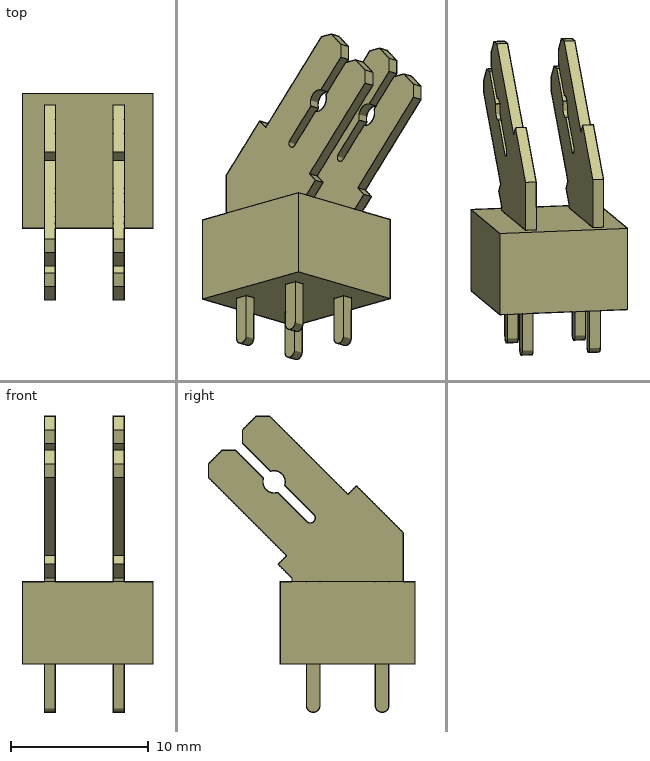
import cadquery as cq
import math

housing_width = 9.5
housing_depth = 9.8
housing_height = 6.0

terminal_thickness = 0.8
terminal_pitch = 5.0
first_terminal_x = -housing_width / 2 + 2.0
terminal_count = 2

pin_width = 1.0
pin_pitch = 5.0
pin_projection = 3.5
pin_bottom = -pin_projection
pin_positions = (-pin_pitch / 2, pin_pitch / 2)

base_width = 8.1

tilt = math.radians(45)
tab_centre = 1.34
shoulder_width = 8.05
shoulder_reach = 4.46
blade_width = 6.3
tip_reach = 13.185
tip_chamfer = 0.7

slot_width = 0.7
slot_end_reach = 4.82
hole_diameter = 1.6
hole_reach = 8.89


def tilted(reach, side):
    """(Y, Z) of a point on the tab, given along and across the tilted axis."""
    across = tab_centre + side
    forward = reach * math.cos(tilt) - across * math.sin(tilt)
    height = reach * math.sin(tilt) + across * math.cos(tilt)
    return (-forward, housing_height + height)


def shoulder_corner(base_y, side):
    """Where a shoulder edge of the tab meets the upright base edge at base_y."""
    across = tab_centre + side
    height = across / math.cos(tilt) - base_y * math.tan(tilt)
    return (base_y, housing_height + height)


def extrude_plate(outline):
    """Give a closed YZ outline the terminal thickness, centred on X = 0."""
    return outline.extrude(terminal_thickness / 2, both=True)


def make_blank():
    """Base and tilted blade, before the slot is cut."""
    back = base_width / 2
    shoulder = shoulder_width / 2
    edge = blade_width / 2
    inner = slot_width / 2
    chamfer_start = tip_reach - tip_chamfer
    points = [
        (-back, housing_height),
        (back, housing_height),
        shoulder_corner(back, shoulder),
        tilted(shoulder_reach, shoulder),
        tilted(shoulder_reach, edge),
        tilted(chamfer_start, edge),
        tilted(tip_reach, edge - tip_chamfer),
        tilted(tip_reach, inner + tip_chamfer),
        tilted(chamfer_start, inner),
        tilted(chamfer_start, -inner),
        tilted(tip_reach, -inner - tip_chamfer),
        tilted(tip_reach, -edge + tip_chamfer),
        tilted(chamfer_start, -edge),
        tilted(shoulder_reach, -edge),
        tilted(shoulder_reach, -shoulder),
        shoulder_corner(-back, -shoulder),
    ]
    return extrude_plate(cq.Workplane("YZ").polyline(points).close())


def make_slot():
    """Round-ended slot through the blade tip, with its hole."""
    inner = slot_width / 2
    round_start = slot_end_reach + inner
    slot = extrude_plate(
        cq.Workplane("YZ")
        .moveTo(*tilted(tip_reach, inner))
        .lineTo(*tilted(round_start, inner))
        .threePointArc(tilted(slot_end_reach, 0), tilted(round_start, -inner))
        .lineTo(*tilted(tip_reach, -inner))
        .close()
    )
    hole = extrude_plate(
        cq.Workplane("YZ").moveTo(*tilted(hole_reach, 0)).circle(hole_diameter / 2)
    )
    return slot.union(hole)


def make_pin(y):
    """Pin with a full-round end, reaching up through the housing to the base."""
    radius = pin_width / 2
    return extrude_plate(
        cq.Workplane("YZ")
        .moveTo(y - radius, housing_height)
        .lineTo(y - radius, pin_bottom + radius)
        .threePointArc((y, pin_bottom), (y + radius, pin_bottom + radius))
        .lineTo(y + radius, housing_height)
        .close()
    )


def make_terminal(x):
    terminal = make_blank().cut(make_slot())
    for y in pin_positions:
        terminal = terminal.union(make_pin(y))
    return terminal.translate((x, 0, 0))


def make_housing():
    """Block with one through passage for every pin."""
    block = cq.Workplane("XY").box(
        housing_width, housing_depth, housing_height, centered=(True, True, False)
    )
    passages = [(x, y) for x in terminal_positions for y in pin_positions]
    return block.cut(
        cq.Workplane("XY")
        .pushPoints(passages)
        .rect(terminal_thickness, pin_width)
        .extrude(housing_height)
    )


terminal_positions = [first_terminal_x + i * terminal_pitch for i in range(terminal_count)]
terminals = [make_terminal(x) for x in terminal_positions]
housing = make_housing()

result = cq.Compound.makeCompound(
    [
        *housing.solids().vals(),
        *[terminal.solids().val() for terminal in terminals],
    ]
)